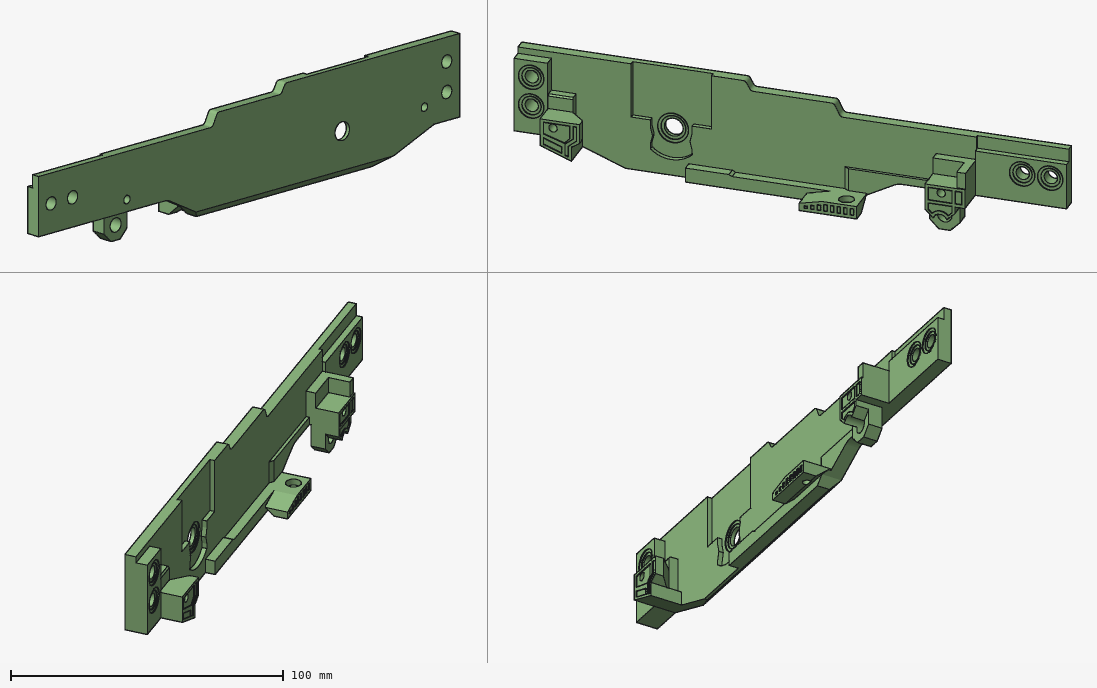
import cadquery as cq

LENGTH = 213.0
HEIGHT = 44.7
DEPTH = 17.5
Y_MAX = LENGTH / 2
Y_MIN = -Y_MAX

PLATE_T = 4.5
POCKET_FACE = 2.5
LEDGE_FACE = 3.2
LOW_PAD_FACE = 5.8
SHELF_FACE = 8.3
ROOT = 2.1
HIGH_PAD_FACE = 9.0
TAB_BACK = 6.4
TAB_FACE = 12.1
WALL_FACE = 16.8
RECESS = 0.5
RIB = 1.3

PLATE_BOTTOM = 1.7
END_BOTTOM = 12.5
MID_TOP = 41.0
LOW_TOP = 35.8
HIGH_PAD_TOP = 42.2
LOW_PAD_TOP = 30.7
PIVOT_Z = 20.0
RAIL_TOP = 6.8
BELLY_BREAK_Z = 5.0

HIGH_PAD_Y = 93.5
LOW_PAD_Y = -71.1
PIVOT_Y = 47.0
BELLY_END_Y = 64.8
LOW_BREAK_Y = -41.1
BELLY_BREAK_Y = -26.8
BELLY_START_Y = -23.6
RAIL_END_Y = -29.2

STEP_R = 1.7
BREAK_R = 6.4
BEVEL = 3.2
BACK_CHAMFER = 0.6


def prism(points, face, back=0.0):
    """Extrude a YZ outline from the level 'back' out to the level 'face'."""
    return cq.Workplane("YZ", origin=(-face, 0, 0)).polyline(points).close().extrude(face - back)


def block(y0, y1, z0, z1, face, back=0.0):
    """Rectangular prism between two levels."""
    return prism([(y0, z0), (y1, z0), (y1, z1), (y0, z1)], face, back)


def bore(y, z, diameter, face=DEPTH, back=0.0):
    """Cylinder along X between two levels."""
    return cq.Workplane("YZ", origin=(-face, y, z)).circle(diameter / 2).extrude(face - back)


def plate():
    """Plain plate with its stepped top, sloping belly and rounded corners."""
    outline = [
        (Y_MAX, HEIGHT), (18.3, HEIGHT), (16.2, MID_TOP), (-16.0, MID_TOP), (-18.5, LOW_TOP),
        (Y_MIN, LOW_TOP), (Y_MIN, END_BOTTOM), (LOW_BREAK_Y, END_BOTTOM),
        (BELLY_BREAK_Y, BELLY_BREAK_Z), (BELLY_START_Y, PLATE_BOTTOM),
        (BELLY_END_Y, PLATE_BOTTOM), (HIGH_PAD_Y, END_BOTTOM), (Y_MAX, END_BOTTOM),
    ]
    body = prism(outline, PLATE_T)
    step_zone = cq.selectors.BoxSelector((-DEPTH, -21.3, LOW_TOP - 2.1), (2.1, 21.3, HEIGHT + 2.1))
    body = body.edges("|X").edges(step_zone).fillet(STEP_R)
    break_zone = cq.selectors.BoxSelector((-DEPTH, LOW_BREAK_Y - 2.1, 10.6), (2.1, LOW_BREAK_Y + 2.1, 15))
    return body.edges("|X").edges(break_zone).fillet(BREAK_R)


def pivot_pocket():
    """Open-topped pocket that necks in below its shoulder and ends in an arc about the pivot."""
    half_wide = 15.5
    half_neck = 8.0
    half_waist = 7.2
    shoulder_z = 23.0
    waist_drop = 3.5
    arc_r = 12.0
    arc_end_drop = (arc_r ** 2 - half_neck ** 2) ** 0.5
    y, z = PIVOT_Y, PIVOT_Z
    return (
        cq.Workplane("YZ", origin=(-PLATE_T, 0, 0))
        .moveTo(y - half_wide, HEIGHT)
        .lineTo(y - half_wide, shoulder_z)
        .lineTo(y - half_neck, shoulder_z)
        .lineTo(y - half_neck, z)
        .lineTo(y - half_waist, z - waist_drop)
        .lineTo(y - half_neck, z - 2 * waist_drop)
        .lineTo(y - half_neck, z - arc_end_drop)
        .threePointArc((y, z - arc_r), (y + half_neck, z - arc_end_drop))
        .lineTo(y + half_neck, z - 2 * waist_drop)
        .lineTo(y + half_waist, z - waist_drop)
        .lineTo(y + half_neck, z)
        .lineTo(y + half_neck, shoulder_z)
        .lineTo(y + half_wide, shoulder_z)
        .lineTo(y + half_wide, HEIGHT)
        .close()
        .extrude(PLATE_T - POCKET_FACE)
    )


body = plate().cut(pivot_pocket())

body = body.cut(block(Y_MIN, LOW_PAD_Y, LOW_PAD_TOP, LOW_TOP, PLATE_T, LEDGE_FACE))

bevel = (
    cq.Workplane("XZ", origin=(0, Y_MAX, 0))
    .polyline([(0, PLATE_BOTTOM), (-BEVEL, PLATE_BOTTOM), (0, PLATE_BOTTOM + BEVEL)])
    .close()
    .extrude(LENGTH)
)
body = body.cut(bevel)

body = body.union(block(HIGH_PAD_Y, Y_MAX, END_BOTTOM, HIGH_PAD_TOP, HIGH_PAD_FACE))
body = body.union(block(Y_MIN, LOW_PAD_Y, END_BOTTOM, LOW_PAD_TOP, LOW_PAD_FACE))


def lower_pad():
    """Pad between rail and low hook; its +Y end ramps down to the plate face."""
    ramp_y0 = -22.0
    ramp_y1 = -20.2
    pad_top = 15.8
    slab = (
        cq.Workplane("XY", origin=(0, 0, PLATE_BOTTOM))
        .polyline([
            (-BEVEL, LOW_PAD_Y), (-LOW_PAD_FACE, LOW_PAD_Y), (-LOW_PAD_FACE, ramp_y0),
            (-PLATE_T, ramp_y1), (-BEVEL, ramp_y1),
        ])
        .close()
        .extrude(pad_top - PLATE_BOTTOM)
    )
    shadow = plate().translate((PLATE_T - LOW_PAD_FACE, 0, 0))
    return slab.intersect(shadow)


body = body.union(lower_pad())


def rail():
    """Rail along the bottom edge, slightly taller near its +Y end."""
    start_y = 40.3
    step_y0, step_y1 = 23.5, 22.2
    step_h = 0.6
    high_top = RAIL_TOP + step_h
    slope = (END_BOTTOM - BELLY_BREAK_Z) / (BELLY_BREAK_Y - LOW_BREAK_Y)
    end_z = BELLY_BREAK_Z + slope * (BELLY_BREAK_Y - RAIL_END_Y)
    return prism([
        (start_y, PLATE_BOTTOM), (start_y, high_top), (step_y0, high_top), (step_y1, RAIL_TOP),
        (RAIL_END_Y, RAIL_TOP), (RAIL_END_Y, end_z),
        (BELLY_BREAK_Y, BELLY_BREAK_Z), (BELLY_START_Y, PLATE_BOTTOM),
    ], SHELF_FACE, BEVEL)


def foot():
    """Lug on the rail end: ramped at its +Y end, undercut toward the plate, drilled along Z."""
    start_y = -6.8
    ramp_end_y = -15.8
    ramp_low_z = 4.7
    undercut_end = 6.5
    edge_t = 0.5
    hole_x, hole_y = -12.8, -23.6
    hole_d, head_d, head_depth = 3.2, 5.8, 2.5
    groove_count = 8
    groove_bottom = PLATE_BOTTOM + RIB
    ramp_slope = (RAIL_TOP - ramp_low_z) / (start_y - ramp_end_y)
    lug = (
        cq.Workplane("XZ", origin=(0, start_y, 0))
        .polyline([
            (-DEPTH, PLATE_BOTTOM), (-TAB_FACE, PLATE_BOTTOM), (-undercut_end, RAIL_TOP - edge_t),
            (-undercut_end, RAIL_TOP), (-DEPTH, RAIL_TOP),
        ])
        .close()
        .extrude(start_y - RAIL_END_Y)
    )
    ramp = [(start_y, ramp_low_z), (start_y, RAIL_TOP), (ramp_end_y, RAIL_TOP)]
    lug = lug.cut(prism(ramp, DEPTH, SHELF_FACE))
    lug = lug.cut(cq.Workplane("XY").center(hole_x, hole_y).circle(hole_d / 2).extrude(RAIL_TOP))
    head = cq.Workplane("XY", origin=(hole_x, hole_y, RAIL_TOP - head_depth)).circle(head_d / 2)
    lug = lug.cut(head.extrude(head_depth))
    for i in range(groove_count):
        y = RAIL_END_Y + RIB * (1 + 2 * i)
        groove_top = RAIL_TOP - RIB - ramp_slope * max(0.0, y + RIB - ramp_end_y)
        lug = lug.cut(block(y, y + RIB, groove_bottom, groove_top, DEPTH, DEPTH - RECESS))
    return lug


body = body.union(rail()).union(foot())


def high_hook():
    """Hook with a flared tip, a narrower lower part and a taller back."""
    top_z = 23.5
    back_top = 29.2
    tip_y = 78.2
    overhang_z = 15.8
    lower_y = 81.4
    back_y = 84.0
    lip = 14.0
    shelf_z = 13.6
    bottom_slope = (END_BOTTOM - PLATE_BOTTOM) / (HIGH_PAD_Y - BELLY_END_Y)
    lower_z = END_BOTTOM - bottom_slope * (HIGH_PAD_Y - lower_y)
    side = prism([
        (HIGH_PAD_Y, END_BOTTOM), (HIGH_PAD_Y, top_z), (tip_y, top_z), (tip_y, overhang_z),
        (lower_y, shelf_z), (lower_y, lower_z),
    ], DEPTH, ROOT)
    flank = (
        cq.Workplane("XY", origin=(0, 0, shelf_z))
        .polyline([
            (-lip, tip_y), (-SHELF_FACE, back_y), (-PLATE_T, back_y), (-PLATE_T, tip_y),
        ])
        .close()
        .extrude(top_z - shelf_z)
    )
    back = block(back_y, HIGH_PAD_Y, END_BOTTOM, back_top, SHELF_FACE, ROOT)
    back = back.faces(">Z").edges("<X").chamfer(BACK_CHAMFER)
    hook = side.cut(flank).union(back)
    recess_top = top_z - RIB
    recesses = [
        [(92.2, recess_top), (82.0, recess_top), (82.0, 17.0), (84.1, 15.0), (92.2, 17.5)],
        [(92.2, 15.8), (85.2, 13.2), (85.2, 10.6), (92.2, 13.2)],
        [
            (80.7, recess_top), (79.5, recess_top), (79.5, 16.5), (82.6, 13.8), (82.6, 9.5),
            (84.0, 10.0), (84.0, 14.5), (80.7, 17.0),
        ],
    ]
    for outline in recesses:
        hook = hook.cut(prism(outline, DEPTH, DEPTH - RECESS))
    return hook


body = body.union(high_hook())

LOW_HOOK_Y = -55.5
TAB_Y = -67.3


def low_hook():
    """Hook with a side wall, a hanging tab and a V-bottomed nose in front of the tab."""
    top_z = 26.6
    seat_z = 20.2
    wall_y = -67.7
    corner = 3.6
    nose_corner = 4.0
    tab_hole_y = (LOW_HOOK_Y + TAB_Y) / 2
    tab_hole_z = 6.0
    tab_hole_d = 5.5

    def nose(inset, top):
        """Outline of the nose, its sides moved inward by 'inset'."""
        y0, y1 = TAB_Y + inset, LOW_HOOK_Y - inset
        bottom = tab_hole_z
        return [
            (y0, top), (y0, bottom + nose_corner), (y0 + nose_corner, bottom),
            (y1 - nose_corner, bottom), (y1, bottom + nose_corner), (y1, top),
        ]

    hook = block(LOW_PAD_Y, LOW_HOOK_Y, END_BOTTOM, top_z, SHELF_FACE, ROOT)
    hook = hook.union(block(LOW_PAD_Y, wall_y, END_BOTTOM, top_z, WALL_FACE, ROOT))
    hook = hook.union(block(LOW_PAD_Y, LOW_HOOK_Y, END_BOTTOM, seat_z, DEPTH, ROOT))
    hook = hook.union(prism([
        (LOW_HOOK_Y, seat_z), (LOW_HOOK_Y, corner), (LOW_HOOK_Y - corner, 0),
        (TAB_Y + corner, 0), (TAB_Y, corner), (TAB_Y, seat_z),
    ], TAB_FACE, TAB_BACK))
    hook = hook.union(prism(nose(0, seat_z), DEPTH, TAB_BACK))
    nose_recess = prism(nose(RIB, END_BOTTOM), DEPTH, DEPTH - RECESS)
    hook = hook.cut(nose_recess.cut(bore(tab_hole_y, tab_hole_z, tab_hole_d + 2 * RIB)))
    hook = hook.cut(bore(tab_hole_y, tab_hole_z, tab_hole_d))
    for y0, y1 in ((TAB_Y + RIB, LOW_HOOK_Y - RIB), (LOW_PAD_Y + RIB, TAB_Y)):
        hook = hook.cut(block(y0, y1, END_BOTTOM + RIB, seat_z - RIB, DEPTH, DEPTH - RECESS))
    return hook


body = body.union(low_hook())


def stepped_hole(y, z, face, diameters):
    """Through hole with shallow rings around it; diameters run from outside in."""
    outer, middle, through = diameters
    tool = bore(y, z, through)
    tool = tool.union(bore(y, z, middle, face, face - 2 * RECESS))
    return tool.union(bore(y, z, outer, face, face - RECESS))


SCREW = (9.8, 7.5, 5.1)
PIVOT = (12.0, 9.5, 7.2)
PIN_D = 3.2
HIGH_SCREW_Y = 100.0
HIGH_SCREW_Z = (35.4, 23.6)
LOW_SCREW_Y = (-89.2, -100.1)
LOW_SCREW_Z = 24.0
PINS = ((88.6, 20.2), (-61.8, 17.3))

for z in HIGH_SCREW_Z:
    body = body.cut(stepped_hole(HIGH_SCREW_Y, z, HIGH_PAD_FACE, SCREW))
for y in LOW_SCREW_Y:
    body = body.cut(stepped_hole(y, LOW_SCREW_Z, LOW_PAD_FACE, SCREW))
body = body.cut(stepped_hole(PIVOT_Y, PIVOT_Z, POCKET_FACE, PIVOT))
for y, z in PINS:
    body = body.cut(bore(y, z, PIN_D))

result = body